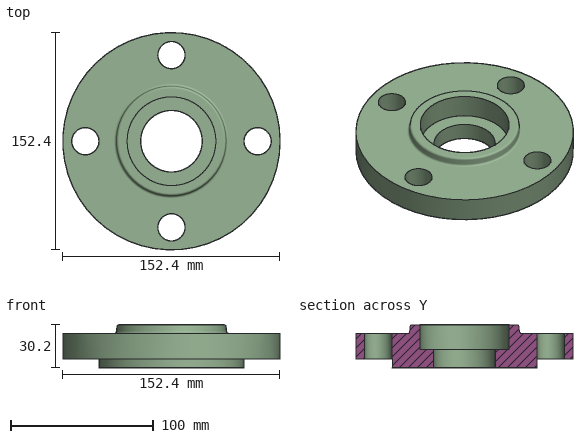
import cadquery as cq
import math

flange_diameter = 152.4
flange_thickness = 18.0
bore_diameter = 43.0
socket_diameter = 62.2
socket_depth = 17.4

raised_face_diameter = 101.6
raised_face_height = 6.1

hub_height = 6.1
hub_base_diameter = 77.5
hub_taper_angle = 6.0
hub_fillet_radius = 1.5

bolt_hole_count = 4
bolt_hole_diameter = 18.9
bolt_circle_diameter = 120.7

flange_top = raised_face_height + flange_thickness
hub_top = flange_top + hub_height
hub_top_diameter = hub_base_diameter - 2 * hub_height * math.tan(math.radians(hub_taper_angle))


def revolved_body():
    """Raised face, flange disc and tapered hub as one solid of revolution."""
    profile = (
        cq.Workplane("XZ")
        .lineTo(raised_face_diameter / 2, 0)
        .lineTo(raised_face_diameter / 2, raised_face_height)
        .lineTo(flange_diameter / 2, raised_face_height)
        .lineTo(flange_diameter / 2, flange_top)
        .lineTo(hub_base_diameter / 2, flange_top)
        .lineTo(hub_top_diameter / 2, hub_top)
        .lineTo(0, hub_top)
        .close()
    )
    return profile.revolve(360, (0, 0, 0), (0, 1, 0))


def round_hub(body):
    """Round the hub's top rim and its root on the flange with equal radii."""
    hub_edges = body.faces("%CONE").edges("%CIRCLE")
    return hub_edges.fillet(hub_fillet_radius)


def cut_socket_and_bore(body):
    """Through bore, opened from the hub side into a flat-bottomed socket."""
    hub_face = body.faces(">Z").workplane(origin=(0, 0, hub_top))
    return hub_face.cboreHole(bore_diameter, socket_diameter, socket_depth)


def cut_bolt_holes(body):
    """Through holes evenly spaced on the bolt circle, the first on +X."""
    holes = (
        cq.Workplane("XY")
        .polarArray(bolt_circle_diameter / 2, 0, 360, bolt_hole_count)
        .circle(bolt_hole_diameter / 2)
        .extrude(hub_top)
    )
    return body.cut(holes)


result = revolved_body()
result = round_hub(result)
result = cut_socket_and_bore(result)
result = cut_bolt_holes(result)